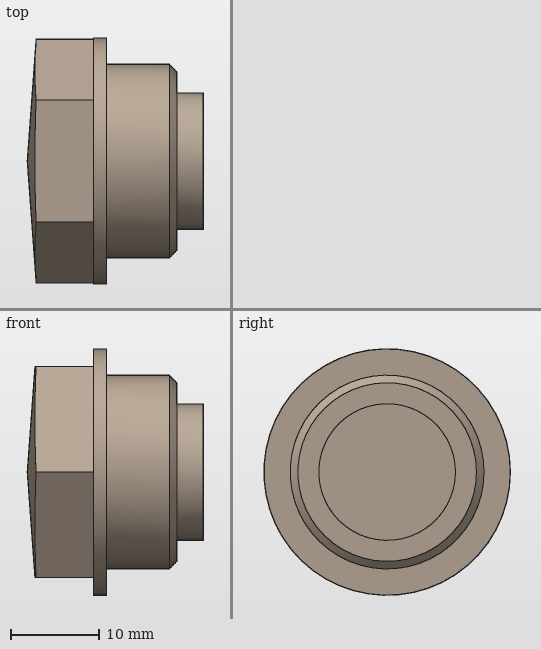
import cadquery as cq
import math

total_length = 20.0
head_length = 7.5
flange_thickness = 1.5
tail_length = 3.0
body_length = total_length - head_length - flange_thickness - tail_length

flange_diameter = 28
body_diameter = 22.0
tail_diameter = 15.5
across_flats = 24.0
across_corners = across_flats / math.cos(math.pi / 6)

crown_height = 1.0
body_chamfer = 0.87

flange_start = head_length
body_start = flange_start + flange_thickness
tail_start = body_start + body_length


def cylinder(start, length, diameter):
    """Solid cylinder on the X axis, beginning at X = start."""
    return cq.Workplane("YZ", origin=(start, 0, 0)).circle(diameter / 2).extrude(length)


def hex_head():
    """Hexagon with corners on the Y axis, its outer end cut to a shallow cone."""
    hexagon = cq.Workplane("YZ").polygon(6, across_corners).extrude(head_length)
    envelope_radius = across_corners
    envelope_crown = crown_height * envelope_radius / (across_corners / 2)
    envelope = (
        cq.Workplane("XY")
        .moveTo(0, 0)
        .lineTo(envelope_crown, envelope_radius)
        .lineTo(head_length, envelope_radius)
        .lineTo(head_length, 0)
        .close()
        .revolve(360, (0, 0, 0), (1, 0, 0))
    )
    return hexagon.intersect(envelope)


flange = cylinder(flange_start, flange_thickness, flange_diameter)
body = cylinder(body_start, body_length, body_diameter).faces(">X").chamfer(body_chamfer)
tail = cylinder(tail_start, tail_length, tail_diameter)

result = hex_head().union(flange).union(body).union(tail)